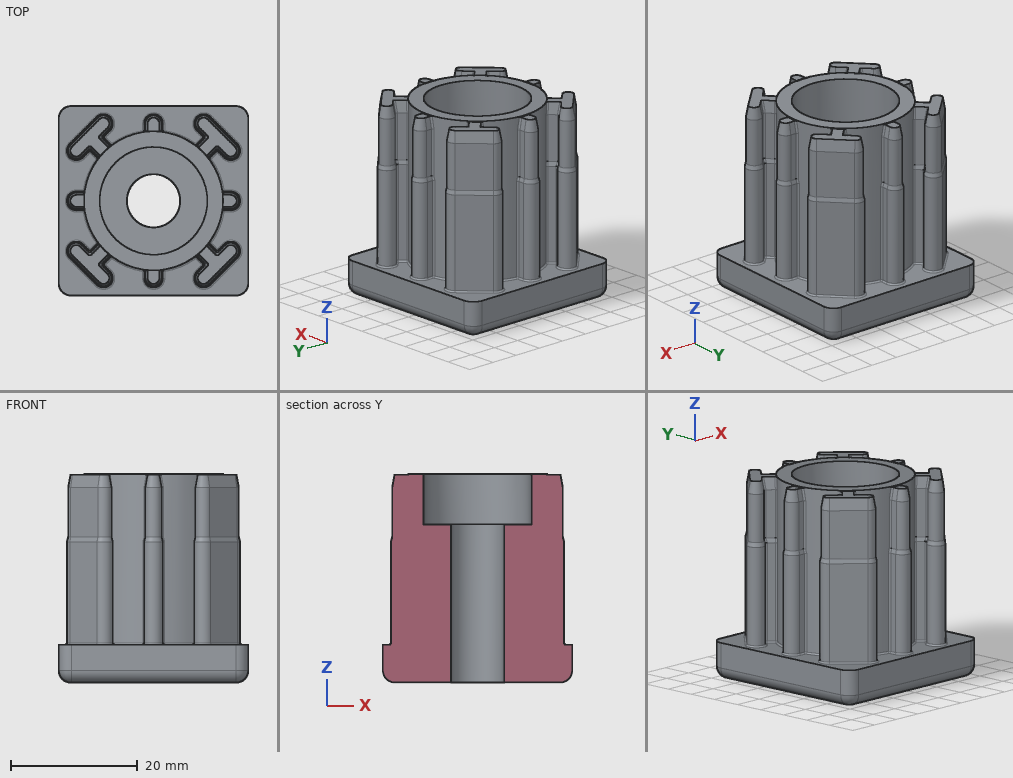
import cadquery as cq
import math

base_side = 30.0
base_height = 6.05
base_corner_radius = 2.0
base_bottom_radius = 1.98

total_height = 33
tube_radius = 11.0
bore_radius = 8.5
bore_depth = 8.0
hole_radius = 4.2

rib_reach = 13.7
rib_half_width = 1.5
rib_root = 9.57
head_half_length = 3.05
inner_corner_radius = 0.3
foot_radius = 0.25

step_bottom = 22.3
step_top = 23.05
step_inset = 0.2
tip_bottom = 30.9
tip_top = 32.87
tip_inset = 0.55

end_center = rib_reach - rib_half_width
head_center = end_center * math.sqrt(2) - head_half_length


def stem_flare(half_width):
    """Start, middle and end of the arc that blends the tube into the upper side of a stem."""
    blend = inner_corner_radius
    center_y = half_width + blend
    center_x = math.sqrt((tube_radius + blend) ** 2 - center_y ** 2)
    tube_angle = math.atan2(center_y, center_x) + math.pi
    stem_angle = 1.5 * math.pi
    middle_angle = (tube_angle + stem_angle) / 2
    return [
        (center_x + blend * math.cos(angle), center_y + blend * math.sin(angle))
        for angle in (tube_angle, middle_angle, stem_angle)
    ]


def mirrored(point):
    return (point[0], -point[1])


def close_stem(outline, flare):
    """Finish an outline along the lower side of the stem and the root."""
    start, middle, end = [mirrored(point) for point in flare]
    return (
        outline.lineTo(*end)
        .threePointArc(middle, start)
        .lineTo(rib_root, start[1])
        .close()
    )


def straight_outline(plane, inset):
    """Rib along +X with a round outer end."""
    half_width = rib_half_width - inset
    flare = stem_flare(half_width)
    outline = (
        plane.moveTo(rib_root, flare[0][1])
        .lineTo(*flare[0])
        .threePointArc(flare[1], flare[2])
        .lineTo(end_center, half_width)
        .threePointArc((end_center + half_width, 0), (end_center, -half_width))
    )
    return close_stem(outline, flare)


def tee_outline(plane, inset):
    """T-shaped rib along +X: a stem that carries a crosswise head with round ends."""
    half_width = rib_half_width - inset
    flare = stem_flare(half_width)
    head_inner = head_center - half_width
    head_outer = head_center + half_width
    blend = inner_corner_radius
    blend_offset = blend * (1 - math.sqrt(0.5))
    blend_start = (head_inner - blend, half_width)
    blend_middle = (head_inner - blend_offset, half_width + blend_offset)
    blend_end = (head_inner, half_width + blend)
    head_tip = head_half_length + half_width
    outline = (
        plane.moveTo(rib_root, flare[0][1])
        .lineTo(*flare[0])
        .threePointArc(flare[1], flare[2])
        .lineTo(*blend_start)
        .threePointArc(blend_middle, blend_end)
        .lineTo(head_inner, head_half_length)
        .threePointArc((head_center, head_tip), (head_outer, head_half_length))
        .lineTo(head_outer, -head_half_length)
        .threePointArc((head_center, -head_tip), (head_inner, -head_half_length))
        .lineTo(*mirrored(blend_end))
        .threePointArc(mirrored(blend_middle), mirrored(blend_start))
    )
    return close_stem(outline, flare)


def prism(outline, inset, bottom, top):
    plane = cq.Workplane("XY").workplane(offset=bottom)
    return outline(plane, inset).extrude(top - bottom)


def tapered(outline, bottom_inset, top_inset, bottom, top):
    lower = cq.Workplane("XY").workplane(offset=bottom)
    upper = cq.Workplane("XY").workplane(offset=top)
    wires = [outline(lower, bottom_inset).val(), outline(upper, top_inset).val()]
    return cq.Workplane(cq.Solid.makeLoft(wires, True))


def lower_rib(outline):
    return prism(outline, 0, base_height, step_bottom)


def upper_rib(outline):
    """Step, narrower shaft and tapered tip above the full-size part of a rib."""
    step = tapered(outline, 0, step_inset, step_bottom, step_top)
    shaft = prism(outline, step_inset, step_top, tip_bottom)
    tip = tapered(outline, step_inset, tip_inset, tip_bottom, tip_top)
    return step.union(shaft).union(tip)


def add_around(body, rib, first_angle):
    for quarter in range(4):
        angle = first_angle + 90 * quarter
        body = body.union(rib.rotate((0, 0, 0), (0, 0, 1), angle))
    return body


base = (
    cq.Workplane("XY")
    .rect(base_side, base_side)
    .extrude(base_height)
    .edges("|Z")
    .fillet(base_corner_radius)
    .faces("<Z")
    .edges()
    .fillet(base_bottom_radius)
)

tube_plane = cq.Workplane("XY").workplane(offset=base_height)
body = tube_plane.circle(tube_radius).extrude(total_height - base_height)
ribs = ((straight_outline, 0), (tee_outline, 45))
for outline, first_angle in ribs:
    body = add_around(body, lower_rib(outline), first_angle)
body = base.union(body)
margin = 0.03
foot_zone = cq.selectors.BoxSelector(
    (-rib_reach - margin, -rib_reach - margin, base_height - margin),
    (rib_reach + margin, rib_reach + margin, base_height + margin),
    boundingbox=True,
)
body = body.edges(foot_zone).fillet(foot_radius)

for outline, first_angle in ribs:
    body = add_around(body, upper_rib(outline), first_angle)

bore_plane = cq.Workplane("XY").workplane(offset=total_height - bore_depth)
bore = bore_plane.circle(bore_radius).extrude(bore_depth)
hole = cq.Workplane("XY").circle(hole_radius).extrude(total_height)
result = body.cut(bore).cut(hole)